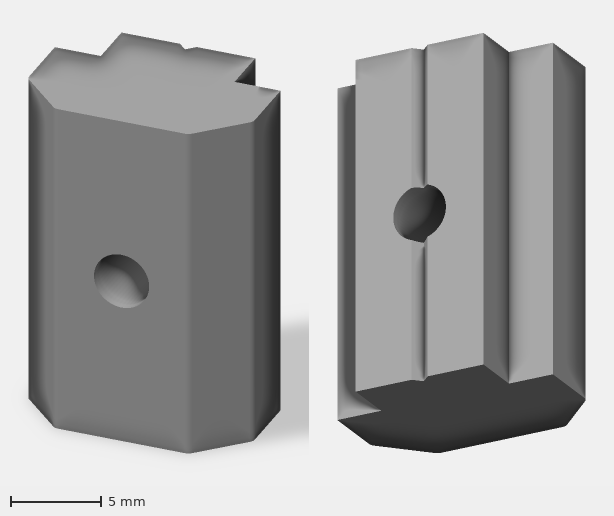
import cadquery as cq

length = 20.0
base_width = 13.5
total_depth = 9.7

neck_width = 8.0
neck_depth = 3.0
edge_radius = 0.5
groove_width = 1.0
groove_depth = groove_width / 2

hole_diameter = 3.3

half_base = base_width / 2
half_neck = neck_width / 2
front_y = -total_depth / 2
back_y = total_depth / 2
shoulder_y = back_y - neck_depth
flank_size = half_base - half_neck
flank_y = front_y + flank_size


def make_body():
    """T-slot profile extruded along Z, with the four flank corners rounded."""
    body = (
        cq.Workplane("XY")
        .workplane(offset=-length / 2)
        .moveTo(-half_neck, front_y)
        .lineTo(half_neck, front_y)
        .lineTo(half_base, flank_y)
        .lineTo(half_base, shoulder_y)
        .lineTo(half_neck, shoulder_y)
        .lineTo(half_neck, back_y)
        .lineTo(groove_width / 2, back_y)
        .lineTo(0, back_y - groove_depth)
        .lineTo(-groove_width / 2, back_y)
        .lineTo(-half_neck, back_y)
        .lineTo(-half_neck, shoulder_y)
        .lineTo(-half_base, shoulder_y)
        .lineTo(-half_base, flank_y)
        .close()
        .extrude(length)
    )
    flank_corners = cq.selectors.BoxSelector(
        (-base_width, front_y - edge_radius, -length),
        (base_width, flank_y + edge_radius, length),
    )
    return body.edges("|Z").edges(flank_corners).fillet(edge_radius)


def make_hole():
    """Round hole along Y, right through the middle of the part."""
    return (
        cq.Workplane("XZ")
        .circle(hole_diameter / 2)
        .extrude(total_depth, both=True)
    )


result = make_body().cut(make_hole())